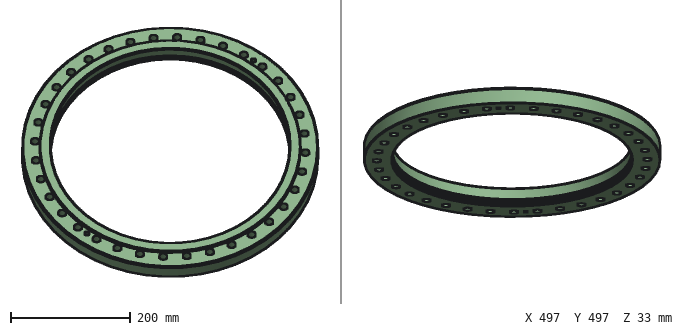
import cadquery as cq
import math

outer_diameter = 497.0
total_height = 33.0
collar_diameter = 435.5
collar_height = 4.0
bore_diameter = 400.0
flange_height = total_height - collar_height

rim_step_width = 2.0
rim_step_height = 2.5

foot_slope_width = 1.5
foot_slope_depth = 0.5

rim_step_chamfer = 0.5
flange_bottom_chamfer = 1.0
bore_chamfer = 2.0

groove_bottom = 9.0
groove_width = 3.5
groove_depth = 1.0
relief_height = 5.0
relief_depth = 0.5

bolt_circle_diameter = 454.0
bolt_count = 36
bolt_hole_diameter = 13.5
small_hole_diameter = 6.5
small_hole_chamfer = 1.0
bolt_pitch = 360 / bolt_count
small_hole_angles = [90 + bolt_pitch / 2, 270 + bolt_pitch / 2]


def make_ring():
    """Revolve the stepped cross-section about the Z axis."""
    outer = outer_diameter / 2
    collar = collar_diameter / 2
    bore = bore_diameter / 2
    relief = bore + relief_depth
    groove = bore + groove_depth
    groove_top = groove_bottom + groove_width
    step_level = flange_height - rim_step_height
    section = [
        (relief + bore_chamfer, 0),
        (outer - flange_bottom_chamfer, 0),
        (outer, flange_bottom_chamfer),
        (outer, step_level - rim_step_chamfer),
        (outer - rim_step_chamfer, step_level),
        (outer - rim_step_width, step_level),
        (outer - rim_step_width, flange_height),
        (collar + foot_slope_width, flange_height),
        (collar, flange_height - foot_slope_depth),
        (collar, total_height),
        (bore + bore_chamfer, total_height),
        (bore, total_height - bore_chamfer),
        (bore, groove_top),
        (groove, groove_top),
        (groove, groove_bottom),
        (bore, groove_bottom),
        (bore, relief_height),
        (relief, relief_height),
        (relief, bore_chamfer),
    ]
    return cq.Workplane("XZ").polyline(section).close().revolve(360, (0, 0), (0, 1))


def bolt_circle_points(angles):
    """Points on the bolt circle at the given angles in degrees."""
    radius = bolt_circle_diameter / 2
    return [
        (radius * math.cos(math.radians(angle)), radius * math.sin(math.radians(angle)))
        for angle in angles
    ]


def bolt_holes():
    """Through-hole cutters for the full circle of bolts."""
    centres = bolt_circle_points([i * bolt_pitch for i in range(bolt_count)])
    return cq.Workplane("XY").pushPoints(centres).circle(bolt_hole_diameter / 2).extrude(flange_height)


def small_holes():
    """Through-hole cutters midway between bolts, widened by a chamfer at the top face."""
    radius = small_hole_diameter / 2
    section = [
        (0, 0),
        (radius, 0),
        (radius, flange_height - small_hole_chamfer),
        (radius + small_hole_chamfer, flange_height),
        (0, flange_height),
    ]
    cutter = cq.Workplane("XZ").polyline(section).close().revolve(360, (0, 0), (0, 1)).val()
    centres = bolt_circle_points(small_hole_angles)
    return cq.Workplane("XY").pushPoints(centres).eachpoint(lambda place: cutter.moved(place))


result = make_ring().cut(bolt_holes()).cut(small_holes())